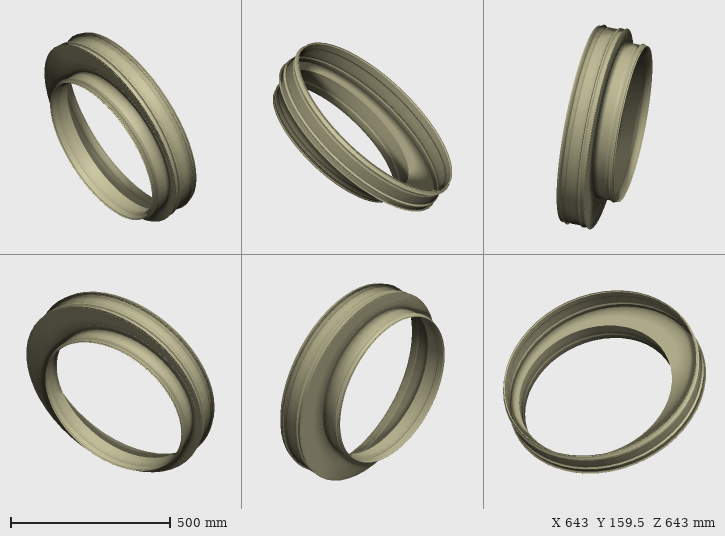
import cadquery as cq


sheet = 0.5
small_axis_x = 38.5
small_diameter = 498.5
large_diameter = small_diameter + 130.0
total_length = 159.5
large_end_y = 90
small_end_y = large_end_y - total_length

small_flange_diameter = 532.5
large_flange_diameter = 643
plate_diameter = 631.5

rim_length = 3.0
recess_start = 5.0
small_recess_end = 22.0
large_recess_end = 25.0
recess_taper = 5.0
recess_depth = 2.25

bead_height = 5.0
bead_center_y = 20.0
bead_crest_width = 4.0
bead_base_width = 9.5

gasket_start = 6.0
gasket_end = 14.0
strip_thickness = 2.0
lip_base_width = 2.5
short_lip_start = 6.5
short_lip_tip = 11.0
short_lip_height = 2.9
long_lip_start = 10.0
long_lip_tip = 15.5
long_lip_height = 5.45


def revolve_profile(points, axis_x, end_y, direction):
    """Revolve (radius, distance from open end) points about an axis along Y."""
    outline = [(radius, direction * distance) for radius, distance in points]
    return (
        cq.Workplane("XY", origin=(axis_x, end_y, 0))
        .polyline(outline)
        .close()
        .revolve(360, (0, 0, 0), (0, 1, 0))
    )


def spigot_profile(diameter, length, recess_end, flange_diameter, bead=()):
    """Thin wall with a gasket recess at the open end and a flange at the other end."""
    tube_radius = diameter / 2
    recess_radius = tube_radius - recess_depth
    wall = [
        (tube_radius, 0),
        (tube_radius, rim_length),
        (recess_radius, recess_start),
        (recess_radius, recess_end),
        (tube_radius, recess_end + recess_taper),
        *bead,
    ]
    flange = [
        (tube_radius, length - sheet),
        (flange_diameter / 2, length - sheet),
        (flange_diameter / 2, length),
        (tube_radius - sheet, length),
    ]
    inner_wall = [(radius - sheet, distance) for radius, distance in reversed(wall)]
    return wall + flange + inner_wall


def bead_profile(diameter):
    """Outer points of the stiffening bead, from the open end towards the flange."""
    base_radius = diameter / 2
    crest_radius = base_radius + bead_height
    center = large_end_y - bead_center_y
    return [
        (base_radius, center - bead_base_width / 2),
        (crest_radius, center - bead_crest_width / 2),
        (crest_radius, center + bead_crest_width / 2),
        (base_radius, center + bead_base_width / 2),
    ]


def gasket_profile(diameter):
    """Strip seated in the recess, with two lips leaning away from the open end."""
    tube_radius = diameter / 2
    seat_radius = tube_radius - recess_depth
    strip_radius = seat_radius + strip_thickness
    return [
        (seat_radius, gasket_start),
        (strip_radius, gasket_start),
        (strip_radius, short_lip_start),
        (tube_radius + short_lip_height, short_lip_tip),
        (strip_radius, short_lip_start + lip_base_width),
        (strip_radius, long_lip_start),
        (tube_radius + long_lip_height, long_lip_tip),
        (strip_radius, long_lip_start + lip_base_width),
        (strip_radius, gasket_end),
        (seat_radius, gasket_end),
    ]


def make_large_spigot():
    """Spigot towards +Y; its flange lies against the back of the plate."""
    length = large_end_y - sheet
    bead = bead_profile(large_diameter)
    profile = spigot_profile(large_diameter, length, large_recess_end, large_flange_diameter, bead)
    return revolve_profile(profile, 0, large_end_y, -1)


def make_small_spigot():
    """Spigot towards -Y; its flange lies against the front of the plate."""
    length = -small_end_y
    profile = spigot_profile(small_diameter, length, small_recess_end, small_flange_diameter)
    return revolve_profile(profile, small_axis_x, small_end_y, 1)


def make_plate():
    """Flat disc from Y = 0 to Y = sheet with an eccentric opening."""
    opening_diameter = small_diameter - 2 * sheet
    return (
        cq.Workplane("XZ")
        .circle(plate_diameter / 2)
        .moveTo(small_axis_x, 0)
        .circle(opening_diameter / 2)
        .extrude(-sheet)
    )


def make_gasket(diameter, axis_x, end_y, direction):
    """Gasket around the open end of one spigot."""
    return revolve_profile(gasket_profile(diameter), axis_x, end_y, direction)


large_spigot = make_large_spigot()
small_spigot = make_small_spigot()
plate = make_plate()

gasket_places = [
    (large_diameter, 0, large_end_y, -1),
    (small_diameter, small_axis_x, small_end_y, 1),
]
gaskets = [make_gasket(*place).val() for place in gasket_places]

result = cq.Compound.makeCompound([large_spigot.val(), small_spigot.val(), plate.val(), *gaskets])